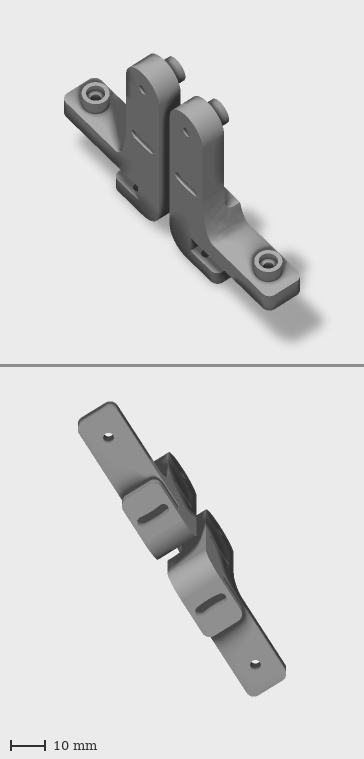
import cadquery as cq
import math

reach = 47.5
depth = 13.0
height = 65.0
gap = 4.9

column_width = 15.0
column_depth = 8.0
ledge_z = 23.5
ledge_fillet = 2.7
flare_top_z = 32.7
flare_width = 4.8

arm_bottom_z = 10.9
arm_top_z = 17.5
foot_top_z = 4.9
foot_reach = 23.75
notch_wall_x = 12.0
corner_radius = 2.5

boss_diameter = 8.1
bore_diameter = 5.5
bore_depth = 2.5
hole_diameter = 3.0
arm_boss_x = 39.5
boss_height = 4.6
slot_width = 3.0
slot_swing_radius = 24.2
slot_half_swing = 3.5

inner_x = gap / 2
outer_x = inner_x + column_width
column_radius = column_width / 2
column_x = inner_x + column_radius
column_hole_z = height - column_radius
flare_end_x = outer_x + flare_width
flare_height = flare_top_z - arm_top_z
mid_y = depth / 2


def front_profile():
    """Outline in XZ: column with round top, flare, arm, notch, foot and round inner heel."""
    diagonal = math.sqrt(0.5)
    heel_mid = (column_x - column_radius * diagonal, column_radius * (1 - diagonal))
    return (
        cq.Workplane("XZ", origin=(0, depth, 0))
        .moveTo(inner_x, column_radius)
        .lineTo(inner_x, column_hole_z)
        .threePointArc((column_x, height), (outer_x, column_hole_z))
        .lineTo(outer_x, flare_top_z)
        .ellipseArc(flare_width, flare_height, 180, 270, startAtCurrent=True)
        .lineTo(reach, arm_top_z)
        .lineTo(reach, arm_bottom_z)
        .lineTo(notch_wall_x, arm_bottom_z)
        .lineTo(notch_wall_x, foot_top_z)
        .lineTo(foot_reach, foot_top_z)
        .lineTo(foot_reach, 0)
        .lineTo(column_x, 0)
        .threePointArc(heel_mid, (inner_x, column_radius))
        .close()
        .extrude(depth)
    )


def column_relief():
    """Space behind the column, above the ledge, with a hollow corner."""
    return (
        cq.Workplane("XY")
        .box(reach, depth, height, centered=False)
        .translate((0, column_depth, ledge_z))
        .edges("<Y and <Z")
        .fillet(ledge_fillet)
    )


def boss():
    """Boss standing on Z = 0."""
    return cq.Workplane("XY").circle(boss_diameter / 2).extrude(boss_height)


def boss_bore():
    """Counterbore entering from the boss top, with a hole right through the column or arm."""
    top = cq.Workplane("XY", origin=(0, 0, boss_height))
    bore = top.circle(bore_diameter / 2).extrude(-bore_depth)
    hole = top.circle(hole_diameter / 2).extrude(-(boss_height + column_depth))
    return bore.union(hole)


def on_arm(shape):
    """Stand a shape on top of the arm."""
    return shape.translate((arm_boss_x, mid_y, arm_top_z))


def on_column_back(shape):
    """Stand a shape on the back face of the column, pointing along +Y."""
    return shape.rotate((0, 0, 0), (1, 0, 0), -90).translate((column_x, column_depth, column_hole_z))


def below_axis(radius, angle):
    """XY point at a radius from the origin, with the angle measured from -Y."""
    return (radius * math.sin(angle), -radius * math.cos(angle))


def swing_slot(thickness):
    """Curved slot on the -Y side of the Z axis, concentric with that axis, standing on Z = 0."""
    half_angle = math.asin(slot_half_swing / slot_swing_radius)
    cap_radius = slot_width / 2
    inner_radius = slot_swing_radius - cap_radius
    outer_radius = slot_swing_radius + cap_radius
    spine = (
        cq.Workplane("XY")
        .moveTo(*below_axis(outer_radius, -half_angle))
        .threePointArc(below_axis(outer_radius, 0), below_axis(outer_radius, half_angle))
        .lineTo(*below_axis(inner_radius, half_angle))
        .threePointArc(below_axis(inner_radius, 0), below_axis(inner_radius, -half_angle))
        .close()
        .extrude(thickness)
    )
    end_centres = [below_axis(slot_swing_radius, angle) for angle in (-half_angle, half_angle)]
    caps = cq.Workplane("XY").pushPoints(end_centres).circle(cap_radius).extrude(thickness)
    return spine.union(caps)


def column_slot():
    """Slot through the column, concentric with the column hole."""
    upright = swing_slot(column_depth).rotate((0, 0, 0), (1, 0, 0), 90)
    return upright.translate((column_x, column_depth, column_hole_z))


def foot_slot():
    """Slot through the foot, concentric with the arm hole."""
    turned = swing_slot(foot_top_z).rotate((0, 0, 0), (0, 0, 1), -90)
    return turned.translate((arm_boss_x, mid_y, 0))


def end_corners(end_x):
    """Selector for edges whose centre lies on the end face at end_x."""
    margin = 0.1
    return cq.selectors.BoxSelector(
        (end_x - margin, -margin, -margin),
        (end_x + margin, depth + margin, height + margin),
    )


def bracket(side):
    """Complete bracket: side is +1 for the +X one and -1 for its mirror image."""
    body = front_profile()
    body = body.edges("|Z").edges(end_corners(reach) + end_corners(foot_reach)).fillet(corner_radius)
    body = body.cut(column_relief())
    for place in (on_arm, on_column_back):
        body = body.union(place(boss()))
        body = body.cut(place(boss_bore()))
    body = body.cut(column_slot())
    body = body.cut(foot_slot())
    if side < 0:
        body = body.mirror("YZ")
    return body.solids().val()


brackets = [bracket(side) for side in (1, -1)]
result = cq.Compound.makeCompound([*brackets])